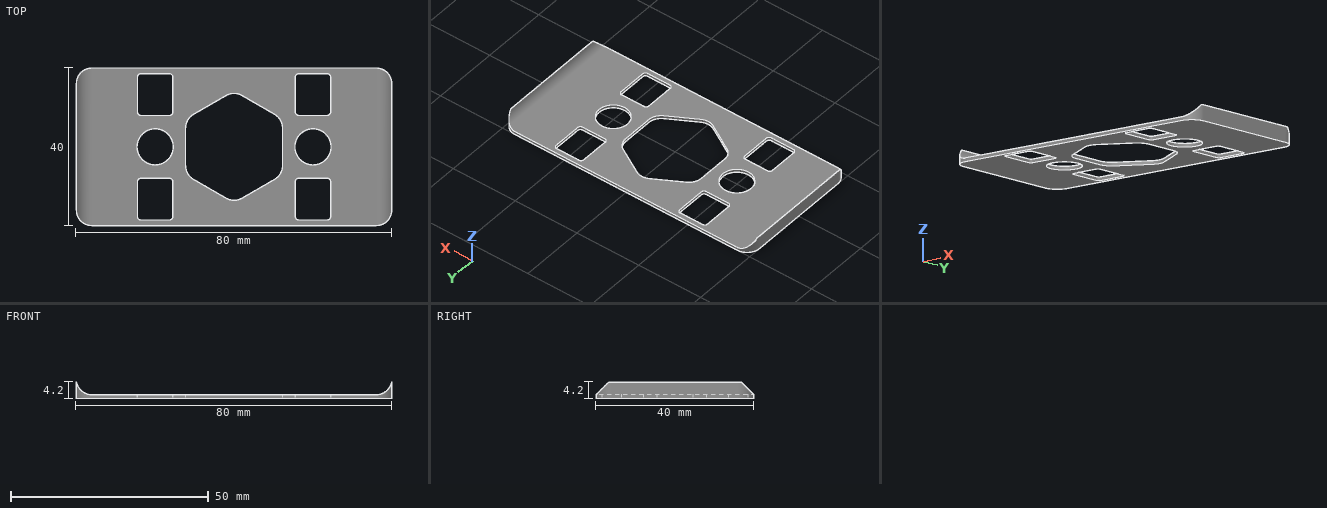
import cadquery as cq
import math

length = 80.0
width = 40.0
height = 4.2
thickness = 1.0
end_radius = 4.0

opening_offset = 20.0
hole_diameter = 9.1
window_length = 8.9
window_width = 10.5
window_margin = 1.5
window_centre_y = width / 2 - window_margin - window_width / 2
window_corner_radius = 0.8
hexagon_across_flats = 24.5
hexagon_corner_radius = 4.0
hexagon_sides = 6
hexagon_half_angle = 180 / hexagon_sides


def lipped_plate():
    """Plate whose ends sweep up in a concave arc to a narrow flat lip."""
    half_length = length / 2
    cove_start = half_length - end_radius
    cove_centre_z = thickness + end_radius
    lip_inner_x = cove_start + math.sqrt(end_radius**2 - (cove_centre_z - height) ** 2)
    diagonal_reach = end_radius / math.sqrt(2)
    arc_mid_x = cove_start + diagonal_reach
    arc_mid_z = cove_centre_z - diagonal_reach
    profile = (
        cq.Workplane("XZ")
        .moveTo(-half_length, 0)
        .lineTo(half_length, 0)
        .lineTo(half_length, height)
        .lineTo(lip_inner_x, height)
        .threePointArc((arc_mid_x, arc_mid_z), (cove_start, thickness))
        .lineTo(-cove_start, thickness)
        .threePointArc((-arc_mid_x, arc_mid_z), (-lip_inner_x, height))
        .lineTo(-half_length, height)
        .close()
        .extrude(width / 2, both=True)
    )
    rounded_outline = cq.Workplane("XY").box(length, width, height, centered=(True, True, False))
    rounded_outline = rounded_outline.edges("|Z").fillet(end_radius)
    return profile.intersect(rounded_outline)


def round_holes():
    """Cutters for the two holes on the long centre line."""
    centres = [(-opening_offset, 0), (opening_offset, 0)]
    return cq.Workplane("XY").pushPoints(centres).circle(hole_diameter / 2).extrude(height)


def windows():
    """Cutters for the four rounded rectangular windows."""
    columns = (-opening_offset, opening_offset)
    rows = (-window_centre_y, window_centre_y)
    centres = [(x, y) for x in columns for y in rows]
    blocks = cq.Workplane("XY").pushPoints(centres).rect(window_length, window_width).extrude(height)
    return blocks.edges("|Z").fillet(window_corner_radius)


def hexagon_opening():
    """Cutter for the central rounded hexagon, with two corners on the Y axis."""
    across_corners = hexagon_across_flats / math.cos(math.radians(hexagon_half_angle))
    prism = cq.Workplane("XY").polygon(hexagon_sides, across_corners).extrude(height)
    prism = prism.edges("|Z").fillet(hexagon_corner_radius)
    return prism.rotate((0, 0, 0), (0, 0, 1), hexagon_half_angle)


result = lipped_plate().cut(round_holes()).cut(windows()).cut(hexagon_opening())